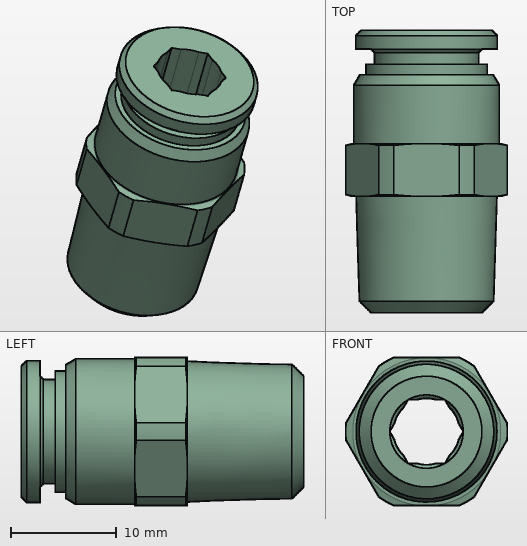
import cadquery as cq
import math

TOTAL_LENGTH = 26.7

THREAD_TAPER = 1 / 16
THREAD_END_RADIUS = 6.35
THREAD_CHAMFER = 1.12

HEX_START = 11.0
HEX_WIDTH = 5.0
HEX_ACROSS_FLATS = 14.0
HEX_CORNER_DIAMETER = 15.3
HEX_CHAMFER_ANGLE = 15.0

BODY_RADIUS = 6.9
BODY_END = 22.5
BODY_CHAMFER_LENGTH = 1.0
BODY_CHAMFER_HEIGHT = 0.6

COLLAR_RADIUS = 5.75
COLLAR_END = 23.5
NECK_RADIUS = 4.95
NECK_FLARE = 0.32
FLANGE_RADIUS = 6.7
FLANGE_THICKNESS = 1.8
FLANGE_CHAMFER = 0.5

BORE_RADIUS = 3.12
SOCKET_ACROSS_FLATS = 6.0
SOCKET_CHAMFER_ANGLE = 45.0

HEX_END = HEX_START + HEX_WIDTH
FLANGE_START = TOTAL_LENGTH - FLANGE_THICKNESS


def revolve_profile(points):
    """Revolve a closed outline of (radius, y) points about the Y axis."""
    outline = cq.Workplane("XY").polyline(points).close()
    return outline.revolve(360, (0, 0, 0), (0, 1, 0))


def across_corners(across_flats):
    """Corner-to-corner size of a hexagon."""
    return across_flats / math.cos(math.radians(30))


def hexagon_prism(across_flats, start, length):
    """Hexagonal prism along +Y with two of its corners on the X axis."""
    plane = cq.Workplane("XZ", origin=(0, start, 0))
    return plane.polygon(6, across_corners(across_flats)).extrude(-length)


def turned_body():
    """Solid round core from the thread end to the release flange."""
    thread_length = HEX_START - THREAD_CHAMFER
    thread_root_radius = THREAD_END_RADIUS + thread_length * THREAD_TAPER / 2
    return revolve_profile([
        (0, 0),
        (THREAD_END_RADIUS - THREAD_CHAMFER, 0),
        (THREAD_END_RADIUS, THREAD_CHAMFER),
        (thread_root_radius, HEX_START),
        (BODY_RADIUS, HEX_START),
        (BODY_RADIUS, BODY_END - BODY_CHAMFER_LENGTH),
        (BODY_RADIUS - BODY_CHAMFER_HEIGHT, BODY_END),
        (COLLAR_RADIUS, BODY_END),
        (COLLAR_RADIUS, COLLAR_END),
        (NECK_RADIUS, COLLAR_END),
        (NECK_RADIUS, FLANGE_START - NECK_FLARE),
        (NECK_RADIUS + NECK_FLARE, FLANGE_START),
        (FLANGE_RADIUS, FLANGE_START),
        (FLANGE_RADIUS, TOTAL_LENGTH - FLANGE_CHAMFER),
        (FLANGE_RADIUS - FLANGE_CHAMFER, TOTAL_LENGTH),
        (0, TOTAL_LENGTH),
    ])


def hexagon_nut():
    """Hexagon with turned corners and both ends chamfered down to the flats."""
    flat_radius = HEX_ACROSS_FLATS / 2
    corner_radius = HEX_CORNER_DIAMETER / 2
    chamfer_slope = math.tan(math.radians(HEX_CHAMFER_ANGLE))
    chamfer_length = (corner_radius - flat_radius) * chamfer_slope
    envelope = revolve_profile([
        (0, HEX_START),
        (flat_radius, HEX_START),
        (corner_radius, HEX_START + chamfer_length),
        (corner_radius, HEX_END - chamfer_length),
        (flat_radius, HEX_END),
        (0, HEX_END),
    ])
    return hexagon_prism(HEX_ACROSS_FLATS, HEX_START, HEX_WIDTH).intersect(envelope)


def bore():
    """Hexagon socket and round bore right through, with a conical lead-in at the thread end."""
    lead_in_radius = across_corners(SOCKET_ACROSS_FLATS) / 2
    lead_in_depth = lead_in_radius / math.tan(math.radians(SOCKET_CHAMFER_ANGLE))
    lead_in = revolve_profile([(0, 0), (lead_in_radius, 0), (0, lead_in_depth)])
    round_bore = revolve_profile([
        (0, 0),
        (BORE_RADIUS, 0),
        (BORE_RADIUS, TOTAL_LENGTH),
        (0, TOTAL_LENGTH),
    ])
    socket = hexagon_prism(SOCKET_ACROSS_FLATS, 0, TOTAL_LENGTH)
    return round_bore.union(socket).union(lead_in)


result = turned_body().union(hexagon_nut()).cut(bore())